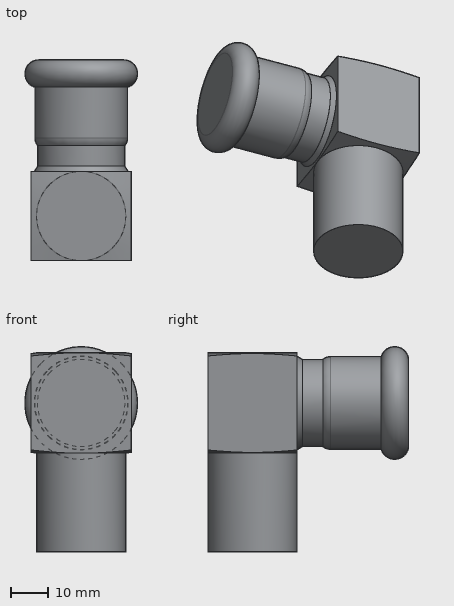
import cadquery as cq
import math

block_width = 27.0
block_depth = 24.0
crown_angle = 8.2

spigot_radius = block_depth / 2
spigot_end_z = -40.0

socket_end_y = 42.0
bead_section_radius = 3.78
bead_outer_radius = 15.165
body_radius = 12.5
body_start_y = 21.0
shoulder_length = 2.1
neck_radius = 11.75
flare_length = 1.4
flare_base_radius = 12.6


def make_block():
    """Box whose top and bottom corners are turned off by a shallow cone."""
    half_height = block_width / 2
    corner_radius = math.hypot(block_width / 2, block_depth / 2)
    corner_drop = (corner_radius - spigot_radius) * math.tan(math.radians(crown_angle))
    rim_z = half_height - corner_drop
    turned_blank = (
        cq.Workplane("XZ")
        .moveTo(0, -half_height)
        .lineTo(spigot_radius, -half_height)
        .lineTo(corner_radius, -rim_z)
        .lineTo(corner_radius, rim_z)
        .lineTo(spigot_radius, half_height)
        .lineTo(0, half_height)
        .close()
        .revolve(360, (0, 0, 0), (0, 1, 0))
    )
    return cq.Workplane("XY").box(block_width, block_depth, block_width).intersect(turned_blank)


def make_spigot():
    """Cylinder from the block centre down to the spigot end."""
    return cq.Workplane("XY").circle(spigot_radius).extrude(spigot_end_z)


def make_socket():
    """Turned socket: flare, neck, rounded shoulder, body and end bead."""
    block_face_y = block_depth / 2
    neck_start_y = block_face_y + flare_length
    neck_end_y = body_start_y - shoulder_length

    shoulder_drop = body_radius - neck_radius
    shoulder_radius = (shoulder_length**2 + shoulder_drop**2) / (2 * shoulder_drop)
    shoulder_mid_angle = math.asin(shoulder_length / shoulder_radius) / 2
    shoulder_mid = (
        body_radius - shoulder_radius * (1 - math.cos(shoulder_mid_angle)),
        body_start_y - shoulder_radius * math.sin(shoulder_mid_angle),
    )

    bead_centre_radius = bead_outer_radius - bead_section_radius
    bead_centre_y = socket_end_y - bead_section_radius
    bead_start_y = bead_centre_y - math.sqrt(
        bead_section_radius**2 - (body_radius - bead_centre_radius) ** 2
    )

    return (
        cq.Workplane("XY")
        .lineTo(flare_base_radius, 0)
        .lineTo(flare_base_radius, block_face_y)
        .lineTo(neck_radius, neck_start_y)
        .lineTo(neck_radius, neck_end_y)
        .threePointArc(shoulder_mid, (body_radius, body_start_y))
        .lineTo(body_radius, bead_start_y)
        .threePointArc((bead_outer_radius, bead_centre_y), (bead_centre_radius, socket_end_y))
        .lineTo(0, socket_end_y)
        .close()
        .revolve(360, (0, 0, 0), (0, 1, 0))
    )


result = make_block().union(make_spigot()).union(make_socket())